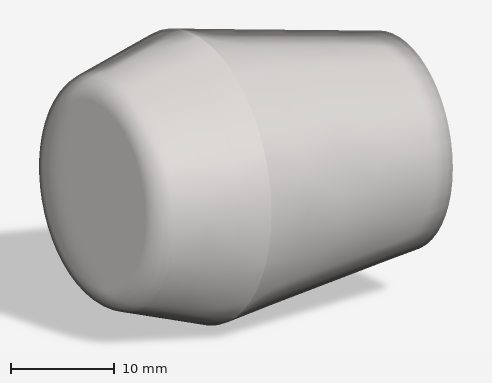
import cadquery as cq

length = 34.0
max_diameter = 29.0
front_diameter = 22.5
back_diameter = 21.5
shoulder_y = 11.0
edge_radius = 2.5

profile = (
    cq.Workplane("XY")
    .moveTo(0, 0)
    .lineTo(front_diameter / 2, 0)
    .lineTo(max_diameter / 2, shoulder_y)
    .lineTo(back_diameter / 2, length)
    .lineTo(0, length)
    .close()
)

knob = profile.revolve(360, (0, 0, 0), (0, 1, 0))
result = knob.faces("<Y").edges().fillet(edge_radius)